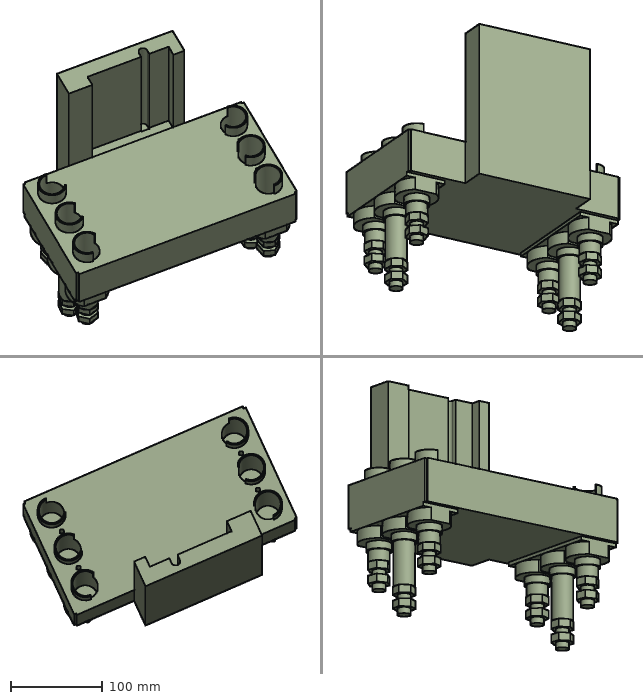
import cadquery as cq


body_left = 30.5
body_right = 171.0
body_width = 267.0
body_bottom = 109.5
body_top = 159.0
corner_step_left = 1.7
corner_step_right = 2.5
corner_step_depth = 2.5

plate_top = 288.3
plate_width = 139.8
plate_center_y = -7.5
channel_width = 98.0
channel_depth = 12.5
channel_floor = 156.3
slot_width = 9.8
slot_left = 7.5
slot_right = 19.3
slot_center_y = 20.8
slot_extra_depth = 3.0

terminal_pitch = 45.0
body_center_x = (body_left + body_right) / 2
terminal_xs = [body_center_x + i * terminal_pitch for i in (-1, 0, 1)]

collar_diameter = 48.0
collar_flat_width = 40.0
collar_height = 14.0
pad_height = 4.3
pad_bottom = body_bottom - pad_height
collar_bottom = pad_bottom - collar_height
row_y = body_width / 2 - collar_diameter / 2

neck_diameter = 28.3
neck_height = 8.6
neck_bottom = collar_bottom - neck_height
shank_diameter = 24.0
rod_diameter = 15.0
rod_length = 31.5
nut_corner_diameter = 25.5
nut_height = 9.0
nut_pitch = 15.5
short_rod_tip = 38.0
rod_tips = [short_rod_tip, 0.0, short_rod_tip]
nut_angles = [11, -4, -11]

sleeve_outer_diameter = 31.0
bore_diameter = 27.7
sleeve_height = 14.7
sleeve_top = body_top + sleeve_height
bore_depth = sleeve_height + (body_top - body_bottom)
opening_size = 57.7
opening_angles = [(60, 180), (48, 132), (0, 120)]

mounting_hole_diameter = 5.0
mounting_hole_y = 107.5


def block(x_min, x_max, y_min, y_max, z_min, z_max):
    size = (x_max - x_min, y_max - y_min, z_max - z_min)
    return cq.Workplane().box(*size, centered=False).translate((x_min, y_min, z_min))


def cylinder(diameter, x, z_min, z_max):
    """Vertical cylinder on the centre line of the front (-Y) terminal row."""
    base = cq.Workplane().workplane(offset=z_min).center(x, -row_y)
    return base.circle(diameter / 2).extrude(z_max - z_min)


def make_body():
    half_width = body_width / 2
    inner_half_width = half_width - corner_step_depth
    core = block(body_left, body_right, -inner_half_width, inner_half_width, body_bottom, body_top)
    ends = block(
        body_left + corner_step_left, body_right - corner_step_right,
        -half_width, half_width, body_bottom, body_top,
    )
    return core.union(ends)


def make_plate():
    y_min = plate_center_y - plate_width / 2
    plate = block(0, body_left, y_min, y_min + plate_width, body_bottom, plate_top)
    channel = block(
        body_left - channel_depth, body_left,
        -channel_width / 2, channel_width / 2, channel_floor, plate_top,
    )
    slot_radius = slot_width / 2
    slot = (
        cq.Workplane().workplane(offset=channel_floor - slot_extra_depth)
        .moveTo(slot_right, slot_center_y - slot_radius)
        .lineTo(slot_right, slot_center_y + slot_radius)
        .lineTo(slot_left + slot_radius, slot_center_y + slot_radius)
        .threePointArc(
            (slot_left, slot_center_y),
            (slot_left + slot_radius, slot_center_y - slot_radius),
        )
        .close()
        .extrude(plate_top - channel_floor + slot_extra_depth)
    )
    return plate.cut(channel).cut(slot)


def make_pad():
    return block(
        terminal_xs[0] - collar_flat_width / 2, terminal_xs[-1] + collar_flat_width / 2,
        -row_y - collar_diameter / 2, -row_y + collar_diameter / 2, pad_bottom, body_bottom,
    )


def make_collar(x):
    disc = cylinder(collar_diameter, x, collar_bottom, pad_bottom)
    flats = block(
        x - collar_flat_width / 2, x + collar_flat_width / 2,
        -row_y - collar_diameter, -row_y + collar_diameter, collar_bottom, pad_bottom,
    )
    return disc.intersect(flats)


def make_nut(x, z_top, angle):
    nut = cq.Workplane().polygon(6, nut_corner_diameter).extrude(-nut_height)
    return nut.rotate((0, 0, 0), (0, 0, 1), angle).translate((x, -row_y, z_top))


def make_stem(x, rod_tip, nut_angle):
    shank_bottom = rod_tip + rod_length
    stem = cylinder(neck_diameter, x, neck_bottom, collar_bottom)
    stem = stem.union(cylinder(shank_diameter, x, shank_bottom, neck_bottom))
    stem = stem.union(cylinder(rod_diameter, x, rod_tip, shank_bottom))
    for nut_top in (shank_bottom, shank_bottom - nut_pitch):
        stem = stem.union(make_nut(x, nut_top, nut_angle))
    return stem


def make_sleeve(x, opening_start, opening_end):
    """Sleeve with its wall removed between two angles measured from +X."""
    opening = (
        cq.Workplane("XZ")
        .rect(opening_size, sleeve_height, centered=False)
        .revolve(opening_end - opening_start, (0, 0, 0), (0, 1, 0))
    )
    opening = opening.rotate((0, 0, 0), (0, 0, 1), opening_start).translate((x, -row_y, body_top))
    return cylinder(sleeve_outer_diameter, x, body_top, sleeve_top).cut(opening)


def make_row():
    row = make_pad()
    for x, rod_tip, nut_angle, opening in zip(terminal_xs, rod_tips, nut_angles, opening_angles):
        row = row.union(make_collar(x))
        row = row.union(make_stem(x, rod_tip, nut_angle))
        row = row.union(make_sleeve(x, *opening))
    return row


def make_row_holes():
    holes = cq.Workplane()
    for x in terminal_xs:
        holes = holes.add(cylinder(bore_diameter, x, sleeve_top - bore_depth, sleeve_top))
    mounting_xs = [x + terminal_pitch / 2 for x in terminal_xs[:-1]]
    mounting_holes = (
        cq.Workplane().workplane(offset=pad_bottom)
        .pushPoints([(x, -mounting_hole_y) for x in mounting_xs])
        .circle(mounting_hole_diameter / 2)
        .extrude(body_top - pad_bottom)
    )
    return holes.add(mounting_holes).combine()


front_row = make_row()
front_holes = make_row_holes()
result = make_body().union(make_plate())
result = result.union(front_row).union(front_row.mirror("XZ")).clean()
result = result.cut(front_holes).cut(front_holes.mirror("XZ"))